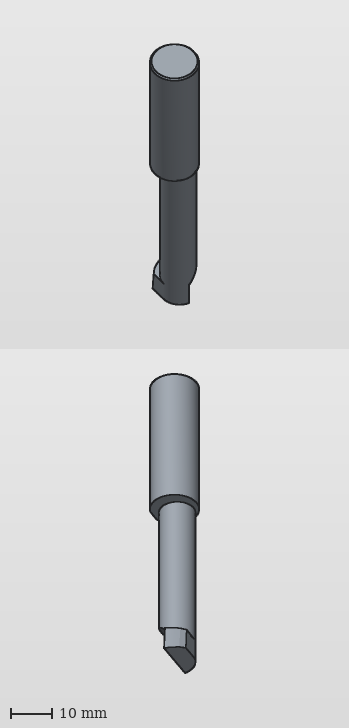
import cadquery as cq
import math

total_length = 83.0
shank_diameter = 12.0
shank_radius = shank_diameter / 2
shank_length = 36.9
shank_bottom = total_length - shank_length
shank_chamfer = 0.4
flat_depth = 0.25

neck_radius = 4.5
neck_x = shank_radius - neck_radius
relief_height = 7.0

head_height = 6.5
side_lean = 0.5
flank_depth = 3.3
flank_setback = 1.75
flank_bulge = 0.125
heel_setback = 3.0
end_rise_x = 2.0
end_rise_y = 7.0


def make_shank():
    shank = (
        cq.Workplane("XY").workplane(offset=shank_bottom)
        .circle(shank_radius).extrude(shank_length)
        .faces(">Z").chamfer(shank_chamfer)
    )
    flat_cutter = (
        cq.Workplane("XY").workplane(offset=shank_bottom)
        .center(0, shank_diameter - flat_depth)
        .rect(2 * shank_diameter, shank_diameter).extrude(shank_length)
    )
    return shank.cut(flat_cutter)


def make_neck():
    neck = cq.Workplane("XY").center(neck_x, 0).circle(neck_radius).extrude(shank_bottom)
    relief = (
        cq.Workplane("YZ")
        .polyline([
            (0, 0),
            (0, relief_height),
            (shank_diameter, relief_height + shank_diameter),
            (shank_diameter, 0),
        ])
        .close().extrude(shank_diameter, both=True)
    )
    return neck.cut(relief)


def head_outline(workplane, lean):
    """Half-section of the head, with its left side moved inward by lean."""
    tip_x = -shank_radius + lean
    flank_end = (tip_x + flank_setback, -flank_depth)
    flank_length = math.hypot(flank_setback, flank_depth)
    flank_middle = (
        tip_x + flank_setback / 2 - flank_bulge * flank_depth / flank_length,
        -flank_depth / 2 - flank_bulge * flank_setback / flank_length,
    )
    return (
        workplane.moveTo(tip_x, 0)
        .threePointArc(flank_middle, flank_end)
        .lineTo(tip_x + heel_setback, -neck_radius)
        .lineTo(neck_x, -neck_radius)
        .lineTo(neck_x, 0)
        .close()
    )


def make_head():
    lower = head_outline(cq.Workplane("XY"), 0)
    upper = head_outline(lower.workplane(offset=head_height), side_lean)
    return upper.loft(ruled=True, combine=True)


def end_face_cutter():
    """Block whose top face slopes upward from the cutting tip toward +X and -Y."""
    slope_x = math.tan(math.radians(end_rise_x))
    slope_y = math.tan(math.radians(end_rise_y))
    end_plane = cq.Plane(
        origin=(-shank_radius, 0, 0),
        xDir=(1, 0, slope_x),
        normal=(-slope_x, slope_y, 1),
    )
    block_size = 4 * shank_diameter
    return cq.Workplane(end_plane).rect(block_size, block_size).extrude(-shank_diameter)


result = make_shank().union(make_neck()).union(make_head()).cut(end_face_cutter())